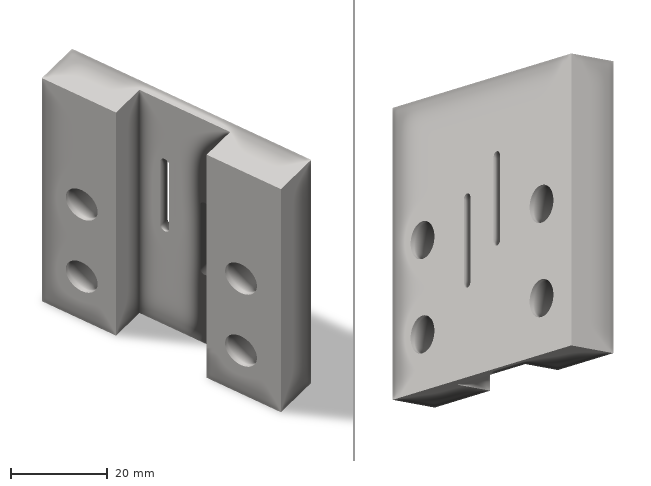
import cadquery as cq

width = 60.0
thickness = 11.0
height = 62.0

channel_width = 22.75
web_thickness = 2.5

hole_diameter = 8.0
hole_spacing_x = 40.0
hole_spacing_z = 20.0
upper_hole_z = 1.0

slot_length = 20.0
slot_width = 2.2
slot_spacing_x = 10.0
left_slot_z = 5.0
right_slot_z = -2.0


def make_channel():
    """Block that clears the space in front of the web."""
    depth = thickness - web_thickness
    channel = cq.Workplane("XY").box(channel_width, depth, height)
    return channel.translate((0, -web_thickness / 2, 0))


def make_holes():
    """Cylinders for two holes in each rail."""
    left_x = -hole_spacing_x / 2
    lower_z = upper_hole_z - hole_spacing_z
    points = [(x, z) for x in (left_x, -left_x) for z in (lower_z, upper_hole_z)]
    plane = cq.Workplane("XZ").pushPoints(points)
    return plane.circle(hole_diameter / 2).extrude(thickness, both=True)


def make_slots():
    """Round-ended cutters for the two slots."""
    right_x = slot_spacing_x / 2
    points = [(-right_x, left_slot_z), (right_x, right_slot_z)]
    plane = cq.Workplane("XZ").pushPoints(points)
    return plane.slot2D(slot_length, slot_width, 90).extrude(thickness, both=True)


plate = cq.Workplane("XY").box(width, thickness, height)
result = plate.cut(make_channel()).cut(make_holes()).cut(make_slots())